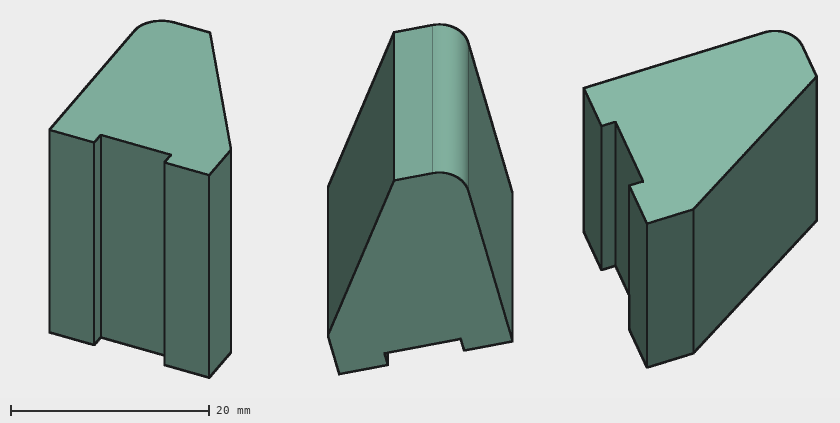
import cadquery as cq

width = 18.0
depth = 22.5
height = 25.0

back_flat_end = 7.0
right_side_depth = 5.0
corner_radius = 3.0

slot_width = 7.9
slot_depth = 1.5

block = (
    cq.Workplane("XY")
    .moveTo(0, 0)
    .lineTo(width, 0)
    .lineTo(width, right_side_depth)
    .lineTo(back_flat_end, depth)
    .lineTo(0, depth)
    .close()
    .extrude(height)
)

block = block.faces("<X").edges("|Z and >Y").fillet(corner_radius)

slot = cq.Workplane("XY").box(slot_width, slot_depth, height, centered=(True, False, False))
result = block.cut(slot.translate((width / 2, 0, 0)))